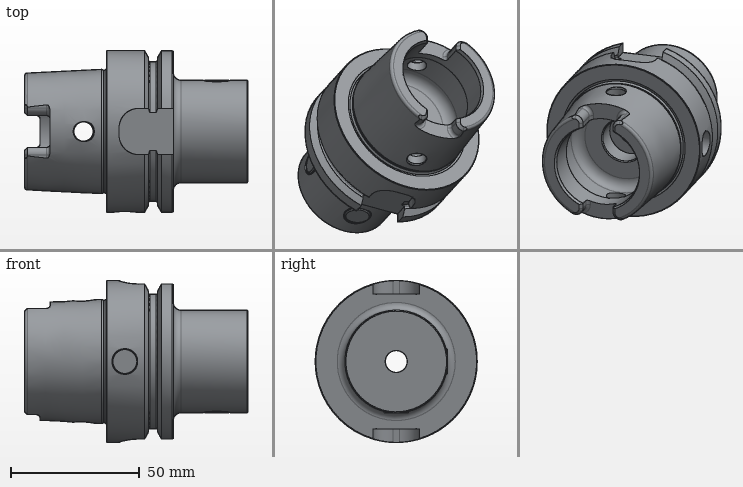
import cadquery as cq
import math

total_length = 86.9
taper_end = 29.9
flange_face = 31.8
flange_length = 26.1
flange_back = flange_face + flange_length
groove_centre = 50.0

taper_ratio = 0.05
gauge_radius = 48.0 / 2
gauge_station = 25.7
relief_start = 30.8
relief_end = 31.3
relief_radius = 23.9
face_relief_inner_radius = 24.5
face_relief_outer_radius = 25.4
face_relief_depth = 0.35
flange_radius = 63.0 / 2
flange_front_chamfer = 0.3
flange_back_chamfer_length = 0.5
flange_back_chamfer_height = 0.3
groove_radius = 27.2
groove_floor_width = 3.5
groove_fillet = 0.6
groove_mouth_width = 6.6
groove_flare_slope = math.radians(60)
shank_radius = 40.0 / 2
shank_fillet = 2.95
shank_chamfer = 0.4
mouth_fillet = 1.2

bore_radius = 34.0 / 2
bore_length = 12.95
bore_chamfer_length = 1.4
bore_chamfer_height = 0.5
chamber_radius = 20.0
shoulder_slope = math.radians(60)
chamber_floor = 31.7
chamber_fillet = 4.3
thread_radius = 17.0 / 2
thread_depth = 8.7
thread_chamfer = 0.4
coolant_radius = 8.4 / 2

slot_half_width = 6.2
slot_shoulder = 20.7
slot_edge_radius = 2.95
slot_end_fillet = 1.4
slot_entry_chamfer = 1.2
slot_lengths = {1: 10.0, -1: 6.0}
slot_base = 8.7
slot_reach = 27.8

cross_hole_diameter = 7.5
cross_hole_mouth = 8.4
cross_hole_station = 22.9

keyway_widths = {1: 18.0, -1: 18.0}
keyway_start = 36.8
keyway_floor = 26.2
keyway_corner = 7.65

chip_diameter = 10.0
chip_station = 39.0
chip_depth = 5.4
chip_floor_chamfer = 0.35

screw_diameter = 10.0
screw_tip_diameter = 9.0
screw_station = 74.7
screw_length = 10.0
screw_mouth_diameter = 11.0
screw_angles = {"side": -90, "bottom": 180}


def taper_radius(x):
    return gauge_radius + taper_ratio * (x - gauge_station)


def outer_body():
    """Turned outside of the holder."""
    groove_start = groove_centre - groove_floor_width / 2
    groove_end = groove_centre + groove_floor_width / 2
    flare_run = (groove_mouth_width - groove_floor_width) / 2
    flare_radius = flange_radius - flare_run * math.tan(groove_flare_slope)
    profile = (
        cq.Workplane("XY")
        .lineTo(0, taper_radius(0))
        .lineTo(taper_end, taper_radius(taper_end))
        .lineTo(relief_start, relief_radius)
        .lineTo(relief_end, relief_radius)
        .lineTo(flange_face + face_relief_depth, face_relief_inner_radius)
        .lineTo(flange_face, face_relief_outer_radius)
        .lineTo(flange_face, flange_radius - flange_front_chamfer)
        .lineTo(flange_face + flange_front_chamfer, flange_radius)
        .lineTo(groove_start - flare_run, flange_radius)
        .lineTo(groove_start, flare_radius)
        .lineTo(groove_start, groove_radius + groove_fillet)
        .radiusArc((groove_start + groove_fillet, groove_radius), -groove_fillet)
        .lineTo(groove_end - groove_fillet, groove_radius)
        .radiusArc((groove_end, groove_radius + groove_fillet), -groove_fillet)
        .lineTo(groove_end, flare_radius)
        .lineTo(groove_end + flare_run, flange_radius)
        .lineTo(flange_back - flange_back_chamfer_length, flange_radius)
        .lineTo(flange_back, flange_radius - flange_back_chamfer_height)
        .lineTo(flange_back, shank_radius + shank_fillet)
        .radiusArc((flange_back + shank_fillet, shank_radius), -shank_fillet)
        .lineTo(total_length - shank_chamfer, shank_radius)
        .lineTo(total_length, shank_radius - shank_chamfer)
        .lineTo(total_length, 0)
        .close()
    )
    body = profile.revolve(360, (0, 0, 0), (1, 0, 0))
    return body.faces("<X").edges().fillet(mouth_fillet)


def cavity():
    """Turned inside: entry bore, clamping chamber, tube socket and coolant hole."""
    shoulder_run = (chamber_radius - bore_radius) / math.tan(shoulder_slope)
    thread_end = chamber_floor + thread_depth
    profile = (
        cq.Workplane("XY")
        .lineTo(0, bore_radius + bore_chamfer_height)
        .lineTo(bore_chamfer_length, bore_radius)
        .lineTo(bore_length, bore_radius)
        .lineTo(bore_length + shoulder_run, chamber_radius)
        .lineTo(chamber_floor - chamber_fillet, chamber_radius)
        .radiusArc((chamber_floor, chamber_radius - chamber_fillet), chamber_fillet)
        .lineTo(chamber_floor, thread_radius + thread_chamfer)
        .lineTo(chamber_floor + thread_chamfer, thread_radius)
        .lineTo(thread_end, thread_radius)
        .lineTo(thread_end, coolant_radius)
        .lineTo(total_length, coolant_radius)
        .lineTo(total_length, 0)
        .close()
    )
    return profile.revolve(360, (0, 0, 0), (1, 0, 0))


def slot_outline(x, growth):
    """Cross-section of a drive slot at station x, widened all round by growth."""
    wall = slot_half_width + growth
    flat = slot_shoulder - growth
    radius = slot_edge_radius - growth
    return (
        cq.Workplane("YZ", origin=(x, 0, 0))
        .moveTo(-wall, slot_base)
        .lineTo(-wall, flat - radius)
        .radiusArc((-wall - radius, flat), -radius)
        .lineTo(-slot_reach, flat)
        .lineTo(-slot_reach, slot_reach)
        .lineTo(slot_reach, slot_reach)
        .lineTo(slot_reach, flat)
        .lineTo(wall + radius, flat)
        .radiusArc((wall, flat - radius), -radius)
        .lineTo(wall, slot_base)
        .close()
    )


def drive_slot(length):
    """Cutter for the +Z drive slot, with a flared entry and a rounded end."""
    slot = slot_outline(0, 0).extrude(length).faces(">X").edges().fillet(slot_end_fillet)
    flare_wires = [
        slot_outline(0, slot_entry_chamfer).val(),
        slot_outline(slot_entry_chamfer, 0).val(),
    ]
    return slot.union(cq.Workplane(cq.Solid.makeLoft(flare_wires, True)))


def keyway(width):
    """Cutter for the +Z keyway, open towards the back of the flange."""
    length = flange_back - keyway_start
    return (
        cq.Workplane("XY", origin=(keyway_start, 0, keyway_floor))
        .rect(2 * length, width)
        .extrude(flange_radius)
        .intersect(
            cq.Workplane("XY", origin=(keyway_start + length / 2, 0, keyway_floor))
            .rect(length, width)
            .extrude(flange_radius)
        )
        .edges("|Z and <X")
        .fillet(keyway_corner)
    )


def cross_hole():
    """Cutter for the +Z cross hole and its countersink."""
    surface = taper_radius(cross_hole_station)
    sink = (cross_hole_mouth - cross_hole_diameter) / 2
    return (
        cq.Workplane("XZ", origin=(cross_hole_station, 0, 0))
        .lineTo(cross_hole_diameter / 2, 0)
        .lineTo(cross_hole_diameter / 2, surface - sink)
        .lineTo(cross_hole_mouth / 2, surface)
        .lineTo(cross_hole_mouth / 2, flange_radius)
        .lineTo(0, flange_radius)
        .close()
        .revolve(360, (0, 0, 0), (0, 1, 0))
    )


def chip_hole():
    """Cutter for the blind data-chip hole."""
    return (
        cq.Workplane("XZ", origin=(chip_station, chip_depth - flange_radius, 0))
        .circle(chip_diameter / 2)
        .extrude(flange_radius)
        .faces(">Y")
        .chamfer(chip_floor_chamfer)
    )


def around_axis(shape, angle):
    return shape.rotate((0, 0, 0), (1, 0, 0), angle)


def clamping_screw():
    """Headless screw pointing to +Z, its outer end level with the shank surface."""
    return (
        cq.Workplane("XY", origin=(screw_station, 0, shank_radius - screw_length))
        .circle(screw_diameter / 2)
        .extrude(screw_length)
        .faces(">Z")
        .chamfer((screw_diameter - screw_tip_diameter) / 2)
    )


def screw_hole():
    """Cutter for a +Z screw hole with a countersunk mouth."""
    sink = (screw_mouth_diameter - screw_diameter) / 2
    bottom = shank_radius - screw_length
    return (
        cq.Workplane("XZ", origin=(screw_station, 0, 0))
        .moveTo(0, bottom)
        .lineTo(screw_diameter / 2, bottom)
        .lineTo(screw_diameter / 2, shank_radius - 2 * sink)
        .lineTo(screw_mouth_diameter / 2, shank_radius - sink)
        .lineTo(screw_mouth_diameter / 2, flange_radius)
        .lineTo(0, flange_radius)
        .close()
        .revolve(360, (0, 0, 0), (0, 1, 0))
    )


side_angles = {1: 0, -1: 180}
holder = outer_body().cut(cavity()).cut(chip_hole())
for side, angle in side_angles.items():
    holder = holder.cut(around_axis(drive_slot(slot_lengths[side]), angle))
    holder = holder.cut(around_axis(keyway(keyway_widths[side]), angle))
    holder = holder.cut(around_axis(cross_hole(), angle))

screws = []
for angle in screw_angles.values():
    holder = holder.cut(around_axis(screw_hole(), angle))
    screws.append(around_axis(clamping_screw(), angle).val())

result = cq.Compound.makeCompound([holder.val(), *screws])